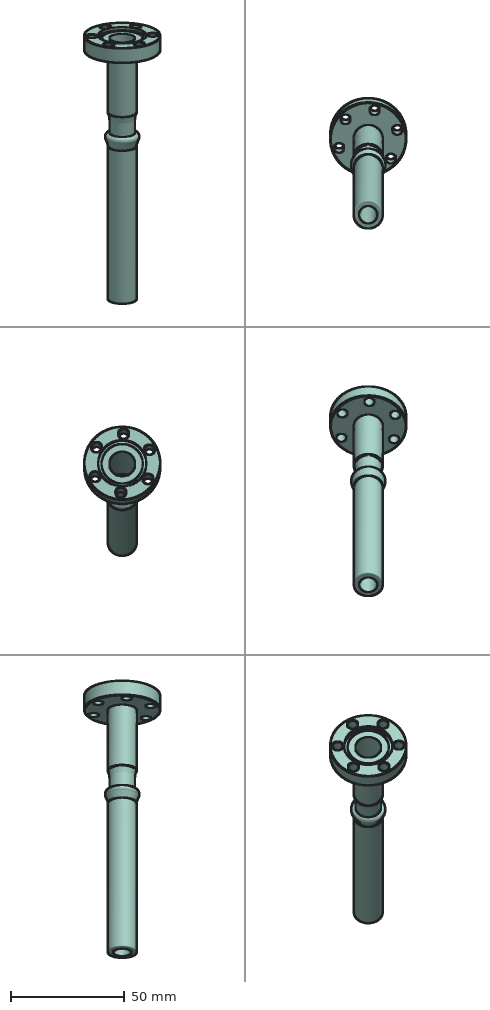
import cadquery as cq
import math

total_length = 123.8

flange_diameter = 33.8
flange_thickness = 7.2
flange_top_chamfer = 0.2
flange_bottom_chamfer = 0.4
flange_bottom = total_length - flange_thickness

bolt_count = 6
bolt_circle_diameter = 27.0
bolt_hole_diameter = 4.5
bolt_hole_chamfer = 0.2

recess_diameter = 21.3
seal_diameter = 18.2
seal_depth = 0.9
centre_face_depth = 1.4
seal_slope_angle = 20.0
recess_slope_drop = (recess_diameter - seal_diameter) / 2 * math.tan(math.radians(seal_slope_angle))
seal_height = total_length - seal_depth
centre_face_height = total_length - centre_face_depth
recess_floor = seal_height - recess_slope_drop

tube_diameter = 13.0
sleeve_bottom = 87.7
neck_diameter = 11.4
neck_taper_top_diameter = 12.4
neck_taper_height = 3.3
bulge_top = 78.1
bulge_diameter = 15.2
bulge_radius = (bulge_diameter - neck_diameter) / 2
bulge_underside_height = 1.1
bulge_taper_height = 3.2
bulge_taper_bottom_diameter = neck_taper_top_diameter
tube_end_fillet = 0.4

sleeve_bore_diameter = 11.4
tube_bore_diameter = 8.0
funnel_diameter = 10.8
funnel_height = 2.5


def make_body():
    """Revolve the outer half-profile, including the gasket recess."""
    neck_taper_bottom = sleeve_bottom - neck_taper_height
    bulge_middle = bulge_top - bulge_radius
    bulge_bottom = bulge_middle - bulge_underside_height
    taper_bottom = bulge_bottom - bulge_taper_height
    flange_radius = flange_diameter / 2
    neck_radius = neck_diameter / 2
    tube_radius = tube_diameter / 2
    taper_top_radius = neck_radius + math.sqrt(bulge_radius**2 - bulge_underside_height**2)
    profile = (
        cq.Workplane("XZ")
        .moveTo(0, 0)
        .lineTo(tube_radius - tube_end_fillet, 0)
        .radiusArc((tube_radius, tube_end_fillet), -tube_end_fillet)
        .lineTo(tube_radius, taper_bottom)
        .lineTo(bulge_taper_bottom_diameter / 2, taper_bottom)
        .lineTo(taper_top_radius, bulge_bottom)
        .radiusArc((bulge_diameter / 2, bulge_middle), -bulge_radius)
        .radiusArc((neck_radius, bulge_top), -bulge_radius)
        .lineTo(neck_radius, neck_taper_bottom)
        .lineTo(neck_taper_top_diameter / 2, sleeve_bottom)
        .lineTo(tube_radius, sleeve_bottom)
        .lineTo(tube_radius, flange_bottom)
        .lineTo(flange_radius - flange_bottom_chamfer, flange_bottom)
        .lineTo(flange_radius, flange_bottom + flange_bottom_chamfer)
        .lineTo(flange_radius, total_length - flange_top_chamfer)
        .lineTo(flange_radius - flange_top_chamfer, total_length)
        .lineTo(recess_diameter / 2, total_length)
        .lineTo(recess_diameter / 2, recess_floor)
        .lineTo(seal_diameter / 2, seal_height)
        .lineTo(seal_diameter / 2, centre_face_height)
        .lineTo(0, centre_face_height)
        .close()
    )
    return profile.revolve(360, (0, 0, 0), (0, 1, 0))


def make_bore():
    """Revolve the through bore with its funnel-shaped step."""
    funnel_width = (funnel_diameter - tube_bore_diameter) / 2
    funnel_radius = (funnel_width**2 + funnel_height**2) / (2 * funnel_width)
    funnel_bottom = sleeve_bottom - funnel_height
    profile = (
        cq.Workplane("XZ")
        .moveTo(0, 0)
        .lineTo(tube_bore_diameter / 2, 0)
        .lineTo(tube_bore_diameter / 2, funnel_bottom)
        .radiusArc((funnel_diameter / 2, sleeve_bottom), funnel_radius)
        .lineTo(sleeve_bore_diameter / 2, sleeve_bottom)
        .lineTo(sleeve_bore_diameter / 2, total_length)
        .lineTo(0, total_length)
        .close()
    )
    return profile.revolve(360, (0, 0, 0), (0, 1, 0))


def make_bolt_hole():
    """One bolt hole, chamfered at the flange's top face."""
    radius = bolt_hole_diameter / 2
    rim_radius = radius + bolt_hole_chamfer
    profile = (
        cq.Workplane("XZ")
        .moveTo(0, flange_bottom)
        .lineTo(radius, flange_bottom)
        .lineTo(radius, total_length - bolt_hole_chamfer)
        .lineTo(rim_radius, total_length)
        .lineTo(0, total_length)
        .close()
    )
    return profile.revolve(360, (0, 0, 0), (0, 1, 0))


result = make_body().cut(make_bore())
for index in range(bolt_count):
    angle = index * 360 / bolt_count
    bolt_hole = make_bolt_hole().translate((bolt_circle_diameter / 2, 0, 0))
    result = result.cut(bolt_hole.rotate((0, 0, 0), (0, 0, 1), angle))